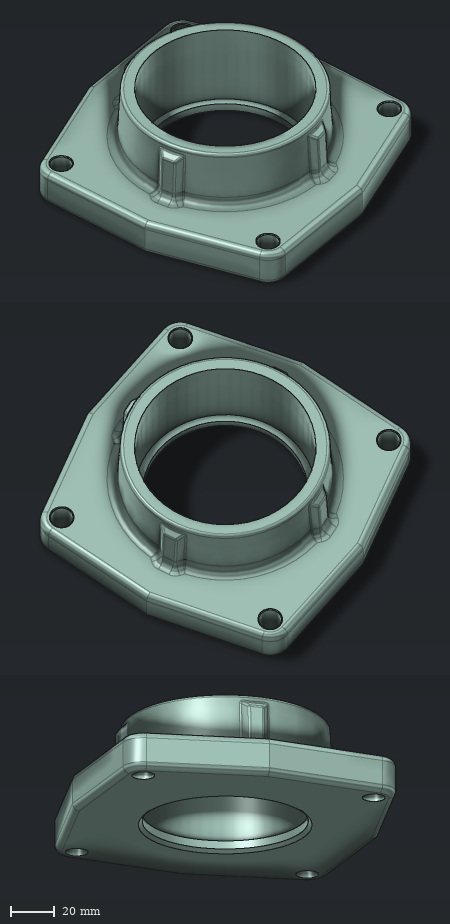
import cadquery as cq
import math

half_span = 73.0
side_angle = 8.0
plate_thickness = 18.1
plate_corner_radius = 10.2
plate_edge_fillet = 3.2

hole_offset = 55.0
hole_diameter = 10.4
hole_chamfer = 0.5

total_height = 46.9
collar_top_radius = 48.2
draft_angle = 3.0
rim_fillet = 1.6
foot_fillet = 4.8

through_bore_diameter = 76.2
main_bore_diameter = 83.2
ledge_height = 5.7
bore_chamfer = 1.8

rib_count = 4
rib_face_width = 6.9
rib_face_top = 40.6
rib_top_reach = 51.5
rib_flank_angle = 42.0
rib_depth = 5.8
rib_edge_fillet = 1.5
rib_root_fillet = 1.5

collar_height = total_height - plate_thickness
collar_base_radius = collar_top_radius + collar_height * math.tan(math.radians(draft_angle))
foot_slab_radius = collar_base_radius + 3 * foot_fillet


def make_plate():
    corner = half_span / (1 + math.tan(math.radians(side_angle)))
    outline = [
        (half_span, 0), (corner, corner), (0, half_span), (-corner, corner),
        (-half_span, 0), (-corner, -corner), (0, -half_span), (corner, -corner),
    ]
    plate = cq.Workplane("XY").polyline(outline).close().extrude(plate_thickness)
    for x, y in outline[1::2]:
        corner_edge = cq.selectors.NearestToPointSelector((x, y, plate_thickness / 2))
        plate = plate.edges(corner_edge).fillet(plate_corner_radius)
    return plate.faces("<Z or >Z").edges().fillet(plate_edge_fillet)


def flare_foot(body):
    """Stand the body on a round slab level with the plate and round the joint between them."""
    slab = cq.Workplane("XY").circle(foot_slab_radius).extrude(plate_thickness)
    joined = slab.union(body)
    slab_top = joined.faces("|Z").faces(cq.selectors.NearestToPointSelector((0, 0, plate_thickness)))
    joint = slab_top.val().innerWires()[0]
    return joined.newObject(joint.Edges()).fillet(foot_fillet)


def make_collar():
    """Solid drafted collar with a rounded rim, flaring out where it meets the plate."""
    collar = (
        cq.Workplane("XY", origin=(0, 0, plate_thickness))
        .circle(collar_base_radius)
        .extrude(collar_height, taper=draft_angle)
        .faces(">Z").edges().fillet(rim_fillet)
    )
    return flare_foot(collar)


def make_rib():
    """One rib on the +X side, its face parallel to the collar wall, flaring out onto the plate."""
    flank_spread = rib_depth * math.tan(math.radians(rib_flank_angle))
    face_length = rib_face_top - plate_thickness / 2
    root_width = rib_face_width + 2 * flank_spread
    root_length = face_length + 2 * flank_spread
    wedge = (
        cq.Workplane("YZ")
        .rect(root_width, root_length)
        .extrude(rib_depth, taper=rib_flank_angle)
        .edges("not <X").fillet(rib_edge_fillet)
        .translate((-rib_depth, 0, -face_length / 2))
        .rotate((0, 0, 0), (0, 1, 0), -draft_angle)
        .translate((rib_top_reach, 0, rib_face_top))
    )
    return flare_foot(wedge)


def make_ribbed_collar():
    body = make_collar()
    rib = make_rib()
    for index in range(rib_count):
        body = body.union(rib.rotate((0, 0, 0), (0, 0, 1), index * 360 / rib_count))
    return body.edges("%HYPERBOLA").fillet(rib_root_fillet)


def make_bore():
    """Cutter for the stepped bore, with a chamfered mouth on the underside."""
    through_radius = through_bore_diameter / 2
    main_radius = main_bore_diameter / 2
    profile = [
        (0, 0),
        (through_radius + bore_chamfer, 0),
        (through_radius, bore_chamfer),
        (through_radius, ledge_height),
        (main_radius, ledge_height),
        (main_radius, total_height),
        (0, total_height),
    ]
    return cq.Workplane("XZ").polyline(profile).close().revolve(360, (0, 0), (0, 1))


def make_mounting_holes():
    """Cutters for the four corner holes, each chamfered at the top."""
    hole_radius = hole_diameter / 2
    profile = [
        (0, 0),
        (hole_radius, 0),
        (hole_radius, plate_thickness - hole_chamfer),
        (hole_radius + hole_chamfer, plate_thickness),
        (0, plate_thickness),
    ]
    hole = cq.Workplane("XZ").polyline(profile).close().revolve(360, (0, 0), (0, 1))
    centres = cq.Workplane("XY").rect(2 * hole_offset, 2 * hole_offset, forConstruction=True).vertices()
    return centres.eachpoint(hole.val(), combine=False)


body = make_plate().union(make_ribbed_collar())
result = body.cut(make_bore()).cut(make_mounting_holes())